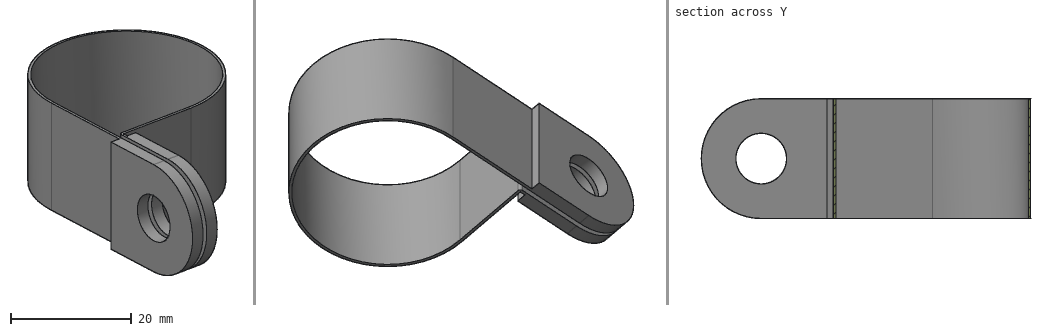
import cadquery as cq


band_thickness = 0.5
band_width = 20.0
loop_inner_radius = 16.0
loop_outer_radius = loop_inner_radius + band_thickness

ear_gap = 0.8
pad_thickness = 1.8
pad_offset = 1.0
ear_radius = band_width / 2
ear_end_x = 38.5
ear_center_x = ear_end_x - ear_radius
screw_hole_diameter = 8.4
bend_outer_radius = 0.5

pad_start_x = loop_outer_radius + pad_offset
lower_ear_top_y = -loop_inner_radius
lower_ear_bottom_y = -loop_outer_radius
upper_ear_bottom_y = lower_ear_top_y + ear_gap
upper_ear_top_y = upper_ear_bottom_y + band_thickness
half_width = band_width / 2


def make_band():
    """Band following the pipe for three quarters of a turn, with straight ends to the ears."""
    profile = (
        cq.Workplane("XY")
        .workplane(offset=-half_width)
        .moveTo(ear_end_x, lower_ear_bottom_y)
        .lineTo(0, -loop_outer_radius)
        .radiusArc((-loop_outer_radius, 0), loop_outer_radius)
        .radiusArc((0, loop_outer_radius), loop_outer_radius)
        .radiusArc((loop_outer_radius, 0), loop_outer_radius)
        .lineTo(loop_outer_radius, upper_ear_top_y)
        .lineTo(ear_end_x, upper_ear_top_y)
        .lineTo(ear_end_x, upper_ear_bottom_y)
        .lineTo(loop_inner_radius + bend_outer_radius, upper_ear_bottom_y)
        .radiusArc((loop_inner_radius, upper_ear_bottom_y + bend_outer_radius), bend_outer_radius)
        .lineTo(loop_inner_radius, 0)
        .radiusArc((0, loop_inner_radius), -loop_inner_radius)
        .radiusArc((-loop_inner_radius, 0), -loop_inner_radius)
        .radiusArc((0, -loop_inner_radius), -loop_inner_radius)
        .lineTo(ear_end_x, lower_ear_top_y)
        .close()
    )
    return profile.extrude(band_width)


def make_pad(bottom_y):
    """Flat pad lying against the outer face of one ear."""
    return cq.Workplane("XY").box(
        ear_end_x - pad_start_x, pad_thickness, band_width, centered=(False, False, True)
    ).translate((pad_start_x, bottom_y, 0))


def round_ears(body):
    """Round the free end of both ears, full width."""
    depth = 2 * loop_outer_radius
    end_block = cq.Workplane("XY").box(
        ear_radius, 2 * depth, band_width, centered=(False, True, True)
    ).translate((ear_center_x, 0, 0))
    end_round = cq.Workplane("XZ").center(ear_center_x, 0).circle(ear_radius).extrude(depth, both=True)
    return body.cut(end_block.cut(end_round))


def drill_screw_hole(body):
    """Through hole across both ears, concentric with their rounded ends."""
    drill = (
        cq.Workplane("XZ")
        .center(ear_center_x, 0)
        .circle(screw_hole_diameter / 2)
        .extrude(2 * loop_outer_radius)
    )
    return body.cut(drill)


clamp = make_band()
clamp = clamp.union(make_pad(upper_ear_top_y))
clamp = clamp.union(make_pad(lower_ear_bottom_y - pad_thickness))
clamp = round_ears(clamp)
result = drill_screw_hole(clamp)